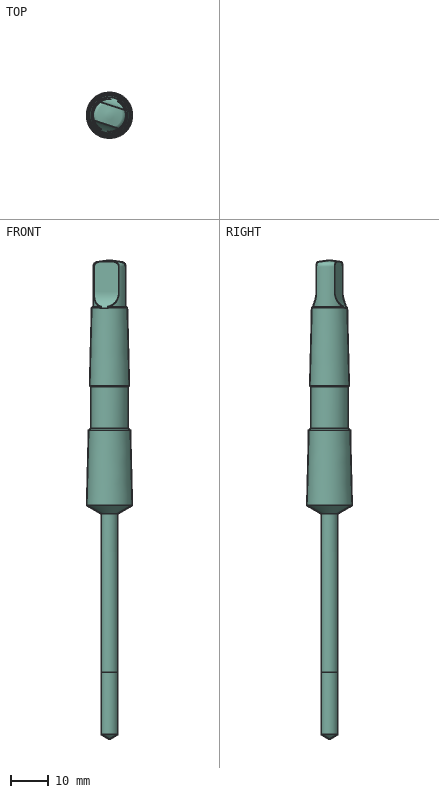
import cadquery as cq
import math


drill_diameter = 4.5
point_angle = 118.0
cutting_length = 18.0
fluted_length = 50.0
overall_length = 128.0

taper_ratio = 1 / 20.047
taper_large_diameter = 12.235
shank_length = 65.5
nose_half_angle = 60.0
relief_diameter = 10.1
relief_lower_height = 20.0
relief_upper_height = 32.0
taper_top_height = 52.7

tang_diameter = 8.7
tang_thickness = 5.2
tang_flat_length = 8.5
tang_run_out_radius = 5.5
tang_turn = -18.0
tang_rim_radius = 1.3
tang_shoulder_height = 0.38
tang_end_radius = 3.4
tang_end_rise = 0.5

drill_radius = drill_diameter / 2
relief_radius = relief_diameter / 2
tang_radius = tang_diameter / 2
taper_base_z = overall_length - shank_length
taper_top_z = taper_base_z + taper_top_height


def taper_radius(height):
    """Radius of the taper at a height above its large end."""
    return (taper_large_diameter - height * taper_ratio) / 2


def revolve_about_z(profile):
    """Turn a closed half profile, drawn as (radius, z), about the Z axis.

    clean=False keeps the boundary between the neck and the fluted length.
    """
    return profile.close().revolve(360, (0, 0, 0), (0, 1, 0), clean=False)


def make_cutting_part():
    """Round cutting end with its conical point."""
    point_length = drill_radius / math.tan(math.radians(point_angle / 2))
    profile = (
        cq.Workplane("XZ")
        .lineTo(drill_radius, point_length)
        .lineTo(drill_radius, cutting_length)
        .lineTo(0, cutting_length)
    )
    return revolve_about_z(profile)


def make_turned_shank():
    """Neck, nose cone, relieved taper and round tang blank, turned in one piece."""
    base_radius = taper_radius(0)
    nose_length = (base_radius - drill_radius) / math.tan(math.radians(nose_half_angle))
    lower_radius = taper_radius(relief_lower_height)
    upper_radius = taper_radius(relief_upper_height)
    relief_lower_z = taper_base_z + relief_lower_height
    relief_upper_z = taper_base_z + relief_upper_height
    tang_end_z = overall_length - tang_end_rise
    tang_rim_z = tang_end_z - tang_rim_radius

    profile = (
        cq.Workplane("XZ")
        .moveTo(0, cutting_length)
        .lineTo(drill_radius, cutting_length)
        .lineTo(drill_radius, fluted_length)
        .lineTo(drill_radius, taper_base_z - nose_length)
        .lineTo(base_radius, taper_base_z)
        .lineTo(lower_radius, relief_lower_z)
        .lineTo(relief_radius, relief_lower_z + lower_radius - relief_radius)
        .lineTo(relief_radius, relief_upper_z - upper_radius + relief_radius)
        .lineTo(upper_radius, relief_upper_z)
        .lineTo(taper_radius(taper_top_height), taper_top_z)
        .lineTo(tang_radius, taper_top_z + tang_shoulder_height)
        .lineTo(tang_radius, tang_rim_z)
        .radiusArc((tang_end_radius, tang_end_z), -tang_rim_radius)
        .lineTo(0, overall_length)
    )
    return revolve_about_z(profile)


def make_tang_cutter():
    """Block that leaves one tang flat, with a concave run-out at its lower end."""
    flat_y = tang_thickness / 2
    flat_bottom_z = overall_length - tang_flat_length
    outer_y = flat_y + tang_run_out_radius
    profile = (
        cq.Workplane("YZ", origin=(-tang_diameter, 0, 0))
        .moveTo(flat_y, overall_length)
        .lineTo(flat_y, flat_bottom_z)
        .radiusArc((outer_y, flat_bottom_z - tang_run_out_radius), -tang_run_out_radius)
        .lineTo(outer_y, overall_length)
        .close()
    )
    return profile.extrude(2 * tang_diameter)


def make_shank():
    shank = make_turned_shank()
    for side_angle in (0, 180):
        cutter = make_tang_cutter().rotate((0, 0, 0), (0, 0, 1), tang_turn + side_angle)
        shank = shank.cut(cutter, clean=False)
    return shank


cutting_part = make_cutting_part()
shank = make_shank()
result = cq.Compound.makeCompound([cutting_part.val(), shank.val()])